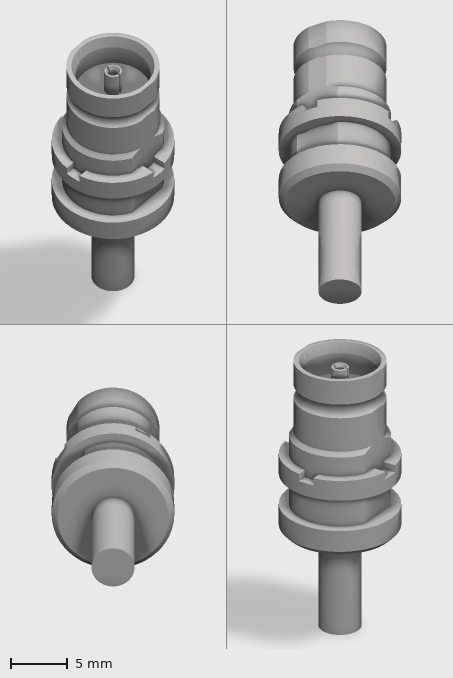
import cadquery as cq

tube_radius = 1.9
tube_length = 9.5

collar_radius = 5.4
collar_height = 2.55
collar_chamfer = 0.5
collar_top = tube_length + collar_height

body_radius = 4.5
body_height = 6.8
shoulder_bottom = collar_top + body_height

barrel_radius = 4.1
shoulder_top = shoulder_bottom + body_radius - barrel_radius
overall_height = 26.2

flat_spacing = 8.0

groove_bottom = 22.54
groove_width = 1.34
groove_depth = 0.38
groove_top = groove_bottom + groove_width

nut_outer_radius = collar_radius
nut_bore_radius = 4.2
nut_bottom = 15.05
nut_height = 1.95
nut_slot_width = 1.5
nut_slot_depth = 0.7

socket_radius = 3.3
socket_depth = 2.95
mouth_radius = 3.65
mouth_depth = 1.0
socket_floor = overall_height - socket_depth

contact_radius = 0.785
contact_height = 2.35
contact_bore_radius = 0.45
contact_mouth_radius = 0.62
contact_mouth_depth = 0.35
contact_tip_chamfer = 0.06
contact_slit_width = 0.18
contact_top = socket_floor + contact_height


def cylinder(radius, bottom, height):
    return cq.Workplane("XY").workplane(offset=bottom).circle(radius).extrude(height)


def block(size_x, size_y, bottom, height):
    return cq.Workplane("XY").workplane(offset=bottom).rect(size_x, size_y).extrude(height)


def revolve_profile(sketch):
    """Revolve a closed (radius, height) outline around the Z axis."""
    return sketch.close().revolve(360, (0, 0, 0), (0, 1, 0))


def make_tube_and_collar():
    collar = cylinder(collar_radius, tube_length, collar_height)
    collar = collar.faces("<Z").chamfer(collar_chamfer)
    return cylinder(tube_radius, 0, tube_length).union(collar)


def make_body():
    outline = (
        cq.Workplane("XZ")
        .moveTo(0, collar_top)
        .lineTo(body_radius, collar_top)
        .lineTo(body_radius, shoulder_bottom)
        .lineTo(barrel_radius, shoulder_top)
        .lineTo(barrel_radius, groove_bottom)
        .threePointArc(
            (barrel_radius - groove_depth, groove_bottom + groove_width / 2),
            (barrel_radius, groove_top),
        )
        .lineTo(barrel_radius, overall_height)
        .lineTo(mouth_radius, overall_height)
        .lineTo(socket_radius, overall_height - mouth_depth)
        .lineTo(socket_radius, socket_floor)
        .lineTo(0, socket_floor)
    )
    flats = block(flat_spacing, 2 * body_radius, collar_top, overall_height - collar_top)
    return revolve_profile(outline).intersect(flats)


def make_nut():
    nut = cylinder(nut_outer_radius, nut_bottom, nut_height)
    nut = nut.cut(cylinder(nut_bore_radius, nut_bottom, nut_height))
    slot_length = 2 * nut_outer_radius
    slot_floor = nut_bottom + nut_height - nut_slot_depth
    slot_along_x = block(slot_length, nut_slot_width, slot_floor, nut_slot_depth)
    slot_along_y = block(nut_slot_width, slot_length, slot_floor, nut_slot_depth)
    return nut.cut(slot_along_x).cut(slot_along_y)


def make_contact():
    outline = (
        cq.Workplane("XZ")
        .moveTo(contact_bore_radius, socket_floor)
        .lineTo(contact_radius, socket_floor)
        .lineTo(contact_radius, contact_top - contact_tip_chamfer)
        .lineTo(contact_radius - contact_tip_chamfer, contact_top)
        .lineTo(contact_mouth_radius, contact_top)
        .lineTo(contact_bore_radius, contact_top - contact_mouth_depth)
    )
    slit = block(2 * contact_radius, contact_slit_width, socket_floor, contact_height)
    return revolve_profile(outline).cut(slit)


result = make_tube_and_collar().union(make_body()).union(make_nut()).union(make_contact())